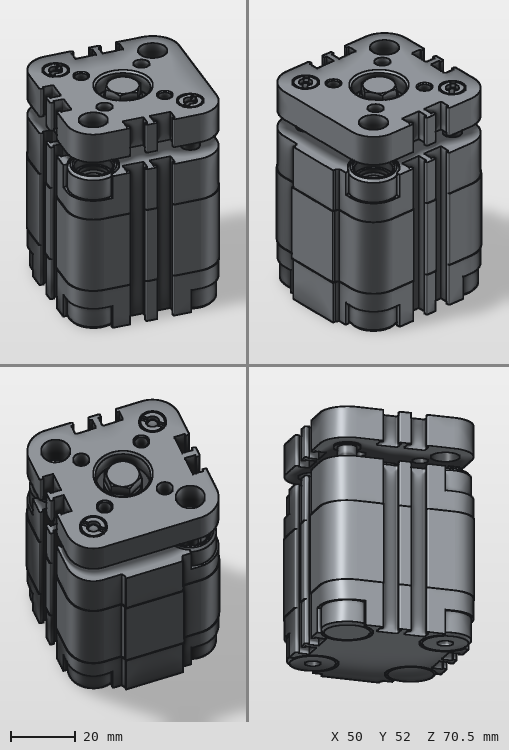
import cadquery as cq
import math

HOUSING_TOP = 54.5
MIDDLE_BOTTOM = 14.4
MIDDLE_TOP = 40.0
PLATE_TOP = 70.5
PLATE_THICKNESS = 10.0
PLATE_BOTTOM = PLATE_TOP - PLATE_THICKNESS

CORNER_PITCH = 16.0
MIDDLE_WIDTH = 50.0
MIDDLE_HALF = MIDDLE_WIDTH / 2
END_STEP = 0.25

MOUTH_INNER = 1.9
MOUTH_OUTER = 7.1
CAVITY_INNER = 1.05
CAVITY_OUTER = 7.9
LIP_RADIUS = 0.4
CAVITY_FLOOR = 20.0
LIP_INSIDE = 23.5
FRONT_CAVITY_RADIUS = 0.55

TOTAL_DEPTH = 52.0
RAIL_TOP = TOTAL_DEPTH - MIDDLE_HALF
RAIL_HALF = 9.65
RAIL_FLARE_START = 26.2
RAIL_ROOT_HALF = 10.3
RAIL_ROOT = 24.0

BOSS_DIAMETER = 16.0
BOSS_CHAMFER_WIDTH = 0.85
BOSS_CHAMFER_HEIGHT = 0.9
NOTCH_INNER = 13.0
NOTCH_HEIGHT = 7.9

BOLT_HOLE_DIAMETER = 5.0
BOLT_HOLE_CHAMFER = 0.8
SEAT_DIAMETER = 10.1
SEAT_DEPTH = 4.9
POCKET_DIAMETER = 12.0
POCKET_DEPTH = 3.5
POCKET_CHAMFER = 0.5

ROD_DIAMETER = 12.0
HEX_FLATS = 10.0
HEX_HEIGHT = 3.95
HEX_CHAMFER_HEIGHT = 0.5
WRENCH_FLATS = 10.0
WRENCH_FLAT_BOTTOM = 55.85
INSERT_DEPTH = 14.1
INSERT_BOTTOM = HOUSING_TOP - INSERT_DEPTH

PIN_DIAMETER = 6.0
PIN_COLLAR_DIAMETER = 8.4
PIN_COLLAR_HEIGHT = 0.5
HEAD_DIAMETER = 8.4
HEAD_TOP_DIAMETER = 7.4
HEAD_CHAMFER_HEIGHT = 0.55
SOCKET_DIAMETER = 4.15
SOCKET_DEPTH = 1.3
PLUG_TOP_DIAMETER = 3.25
PLUG_CHAMFER_HEIGHT = 0.4
DRIVER_SLOT_WIDTH = 1.55
DRIVER_SLOT_DEPTH = 1.05
DRIVER_SLOT_ANGLE = -45.0

CENTER_BORE_DIAMETER = 17.0
CENTER_BORE_DEPTH = 6.0
CENTER_BORE_CHAMFER = 0.7
ACCESS_HOLE_DIAMETER = 9.0
SMALL_HOLE_PITCH = 9.95
SMALL_HOLE_DIAMETER = 5.0
THREAD_HOLE_DIAMETER = 4.15
THREAD_HOLE_CHAMFER = (SMALL_HOLE_DIAMETER - THREAD_HOLE_DIAMETER) / 2

PIN_CORNERS = [(1, 1), (-1, -1)]
BOLT_CORNERS = [(-1, 1), (1, -1)]


def places(signs, pitch):
    """Points at the given signs and the same distance from both axes."""
    return [(sx * pitch, sy * pitch) for sx, sy in signs]


PIN_PLACES = places(PIN_CORNERS, CORNER_PITCH)
BOLT_PLACES = places(BOLT_CORNERS, CORNER_PITCH)


def cylinder(diameter, bottom, top, at=(0, 0)):
    return cq.Workplane("XY", origin=(*at, bottom)).circle(diameter / 2).extrude(top - bottom)


def cone(bottom_diameter, top_diameter, bottom, top, at=(0, 0)):
    """Truncated cone about a vertical axis."""
    return cq.Workplane(obj=cq.Solid.makeCone(
        bottom_diameter / 2, top_diameter / 2, top - bottom, pnt=cq.Vector(*at, bottom)))


def box(x_range, y_range, z_range):
    (x0, x1), (y0, y1), (z0, z1) = x_range, y_range, z_range
    return cq.Workplane("XY").box(x1 - x0, y1 - y0, z1 - z0, centered=False).translate((x0, y0, z0))


def rounded_block(half, bottom, top):
    """Square block whose corners are rounded about the corner axes."""
    block = cq.Workplane("XY", origin=(0, 0, bottom)).rect(2 * half, 2 * half).extrude(top - bottom)
    return block.edges("|Z").fillet(half - CORNER_PITCH)


def t_slot_pair(half, bottom, top, cavity_radius=0.0):
    """Cutter for two T-slots with rounded lips that open in the face at Y = -half."""
    height = top - bottom
    lip_edge = -half + LIP_RADIUS
    arc_inset = LIP_RADIUS * (1 - math.sqrt(0.5))
    mouth = (
        cq.Workplane("XY", origin=(0, 0, bottom))
        .moveTo(MOUTH_INNER, -LIP_INSIDE)
        .lineTo(MOUTH_INNER, lip_edge)
        .threePointArc((MOUTH_INNER - arc_inset, -half + arc_inset), (MOUTH_INNER - LIP_RADIUS, -half))
        .lineTo(MOUTH_OUTER + LIP_RADIUS, -half)
        .threePointArc((MOUTH_OUTER + arc_inset, -half + arc_inset), (MOUTH_OUTER, lip_edge))
        .lineTo(MOUTH_OUTER, -LIP_INSIDE)
        .close()
        .extrude(height)
    )
    cavity = box((CAVITY_INNER, CAVITY_OUTER), (-LIP_INSIDE, -CAVITY_FLOOR), (bottom, top))
    if cavity_radius:
        cavity = cavity.edges("|Z and >Y").fillet(cavity_radius)
    slot = mouth.union(cavity)
    return slot.union(slot.mirror("YZ"))


def slotted_block(half, bottom, top):
    """Rounded square block with slot pairs in the -Y, -X and +X faces."""
    block = rounded_block(half, bottom, top)
    block = block.cut(t_slot_pair(half, bottom, top, FRONT_CAVITY_RADIUS))
    side_pair = t_slot_pair(half, bottom, top)
    for angle in (-90, 90):
        block = block.cut(side_pair.rotate((0, 0, 0), (0, 0, 1), angle))
    return block


def rail(inset, bottom, top):
    """Rail along the +Y face, flared at its root, with its whole outline moved in by the inset."""
    half = RAIL_HALF - inset
    root_half = RAIL_ROOT_HALF - inset
    face = MIDDLE_HALF - inset
    flare_start = RAIL_FLARE_START - inset
    right_side = [(root_half, RAIL_ROOT), (root_half, face), (half, flare_start), (half, RAIL_TOP - inset)]
    left_side = [(-x, y) for x, y in reversed(right_side)]
    outline = cq.Workplane("XY", origin=(0, 0, bottom)).polyline(right_side + left_side).close()
    return outline.extrude(top - bottom)


def housing_section(inset, bottom, top):
    return slotted_block(MIDDLE_HALF - inset, bottom, top).union(rail(inset, bottom, top))


def corner_notch(signs):
    """Cutter standing on Z=0 that leaves a boss with a chamfered lower rim in one corner."""
    sx, sy = signs
    x_range = sorted((sx * NOTCH_INNER, sx * MIDDLE_HALF))
    y_range = sorted((sy * NOTCH_INNER, sy * MIDDLE_HALF))
    at = (sx * CORNER_PITCH, sy * CORNER_PITCH)
    rim_diameter = BOSS_DIAMETER - 2 * BOSS_CHAMFER_WIDTH
    corner = box(x_range, y_range, (0, NOTCH_HEIGHT)).cut(cylinder(BOSS_DIAMETER, 0, NOTCH_HEIGHT, at))
    groove = cylinder(BOSS_DIAMETER, 0, BOSS_CHAMFER_HEIGHT, at).cut(
        cone(rim_diameter, BOSS_DIAMETER, 0, BOSS_CHAMFER_HEIGHT, at))
    return corner.union(groove)


def cut_corner_notches(body):
    """Notch all four corners at the bottom and the two bolt corners at the top."""
    for signs in PIN_CORNERS + BOLT_CORNERS:
        body = body.cut(corner_notch(signs))
    for signs in BOLT_CORNERS:
        upper = corner_notch(signs).mirror("XY").translate((0, 0, HOUSING_TOP))
        body = body.cut(upper)
    return body


def bolt_hole(at):
    """Cutter for a through hole with a stepped, chamfered pocket at the top."""
    seat = HOUSING_TOP - SEAT_DEPTH
    hole_rim = BOLT_HOLE_DIAMETER + 2 * BOLT_HOLE_CHAMFER
    pocket_rim = POCKET_DIAMETER + 2 * POCKET_CHAMFER
    return (
        cylinder(BOLT_HOLE_DIAMETER, 0, HOUSING_TOP, at)
        .union(cone(BOLT_HOLE_DIAMETER, hole_rim, seat - BOLT_HOLE_CHAMFER, seat, at))
        .union(cylinder(SEAT_DIAMETER, seat, HOUSING_TOP, at))
        .union(cylinder(POCKET_DIAMETER, HOUSING_TOP - POCKET_DEPTH, HOUSING_TOP, at))
        .union(cone(POCKET_DIAMETER, pocket_rim, HOUSING_TOP - POCKET_CHAMFER, HOUSING_TOP, at))
    )


def make_housing():
    housing = (
        housing_section(END_STEP, 0, MIDDLE_BOTTOM)
        .union(housing_section(0, MIDDLE_BOTTOM, MIDDLE_TOP))
        .union(housing_section(END_STEP, MIDDLE_TOP, HOUSING_TOP))
    )
    housing = cut_corner_notches(housing)
    for at in BOLT_PLACES:
        housing = housing.cut(bolt_hole(at))

    housing = housing.cut(cylinder(ROD_DIAMETER, INSERT_BOTTOM, HOUSING_TOP))
    for at in PIN_PLACES:
        housing = housing.cut(cylinder(PIN_DIAMETER, INSERT_BOTTOM, HOUSING_TOP, at))
    return housing


def rod():
    """Piston rod with two wrench flats and a chamfered hexagon at its upper end."""
    shoulder = PLATE_TOP - HEX_HEIGHT
    shaft = cylinder(ROD_DIAMETER, INSERT_BOTTOM, shoulder)
    for side in (-1, 1):
        flat_y = sorted((side * WRENCH_FLATS / 2, side * ROD_DIAMETER))
        shaft = shaft.cut(box((-ROD_DIAMETER, ROD_DIAMETER), flat_y, (WRENCH_FLAT_BOTTOM, PLATE_BOTTOM)))

    hexagon = (
        cq.Workplane("XY", origin=(0, 0, shoulder))
        .polygon(6, HEX_FLATS, circumscribed=True)
        .extrude(HEX_HEIGHT)
    )
    corner_diameter = 2 * HEX_FLATS / math.sqrt(3)
    trim_bottom = PLATE_TOP - HEX_CHAMFER_HEIGHT
    envelope = cylinder(corner_diameter, shoulder, trim_bottom).union(
        cone(corner_diameter, HEX_FLATS, trim_bottom, PLATE_TOP))
    return shaft.union(hexagon.intersect(envelope))


def plate():
    block = slotted_block(MIDDLE_HALF - END_STEP, PLATE_BOTTOM, PLATE_TOP)

    bore_rim = CENTER_BORE_DIAMETER + 2 * CENTER_BORE_CHAMFER
    block = block.cut(cylinder(CENTER_BORE_DIAMETER, PLATE_TOP - CENTER_BORE_DEPTH, PLATE_TOP))
    block = block.cut(cone(CENTER_BORE_DIAMETER, bore_rim, PLATE_TOP - CENTER_BORE_CHAMFER, PLATE_TOP))

    for at in BOLT_PLACES:
        block = block.cut(cylinder(ACCESS_HOLE_DIAMETER, PLATE_BOTTOM, PLATE_TOP, at))
    for at in places(BOLT_CORNERS, SMALL_HOLE_PITCH):
        block = block.cut(cylinder(SMALL_HOLE_DIAMETER, PLATE_BOTTOM, PLATE_TOP, at))
    for at in places(PIN_CORNERS, SMALL_HOLE_PITCH):
        block = block.cut(cylinder(THREAD_HOLE_DIAMETER, PLATE_BOTTOM, PLATE_TOP, at))
        block = block.cut(cone(
            THREAD_HOLE_DIAMETER, SMALL_HOLE_DIAMETER, PLATE_TOP - THREAD_HOLE_CHAMFER, PLATE_TOP, at))
    return block


def guide_pin(at):
    """Guide pin with a collar under the plate."""
    pin = cylinder(PIN_DIAMETER, INSERT_BOTTOM, PLATE_BOTTOM, at)
    return pin.union(cylinder(PIN_COLLAR_DIAMETER, PLATE_BOTTOM - PIN_COLLAR_HEIGHT, PLATE_BOTTOM, at))


def screw_head_cutter(at):
    """Cutter for the chamfer groove, the driver slot and the plugged socket of a screw head."""
    groove_bottom = PLATE_TOP - HEAD_CHAMFER_HEIGHT
    head_space = cylinder(HEAD_DIAMETER, PLATE_TOP - DRIVER_SLOT_DEPTH, PLATE_TOP, at)
    groove = cylinder(HEAD_DIAMETER, groove_bottom, PLATE_TOP, at).cut(
        cone(HEAD_DIAMETER, HEAD_TOP_DIAMETER, groove_bottom, PLATE_TOP, at))
    slot = (
        cq.Workplane("XY", origin=(*at, PLATE_TOP))
        .transformed(rotate=(0, 0, DRIVER_SLOT_ANGLE))
        .rect(HEAD_DIAMETER, DRIVER_SLOT_WIDTH)
        .extrude(-DRIVER_SLOT_DEPTH)
        .intersect(head_space)
    )
    plug_top = PLATE_TOP - SOCKET_DEPTH
    socket_bottom = plug_top - PLUG_CHAMFER_HEIGHT
    socket = cylinder(SOCKET_DIAMETER, socket_bottom, PLATE_TOP, at).cut(
        cone(SOCKET_DIAMETER, PLUG_TOP_DIAMETER, socket_bottom, plug_top, at))
    return groove.union(slot).union(socket)


def make_plunger():
    """Rod, plate and guide pins that move together as one body."""
    plunger = plate().union(rod())
    for at in PIN_PLACES:
        plunger = plunger.union(guide_pin(at))
        plunger = plunger.cut(screw_head_cutter(at))
    return plunger


housing = make_housing()
plunger = make_plunger()

result = cq.Compound.makeCompound([housing.val(), plunger.val()])